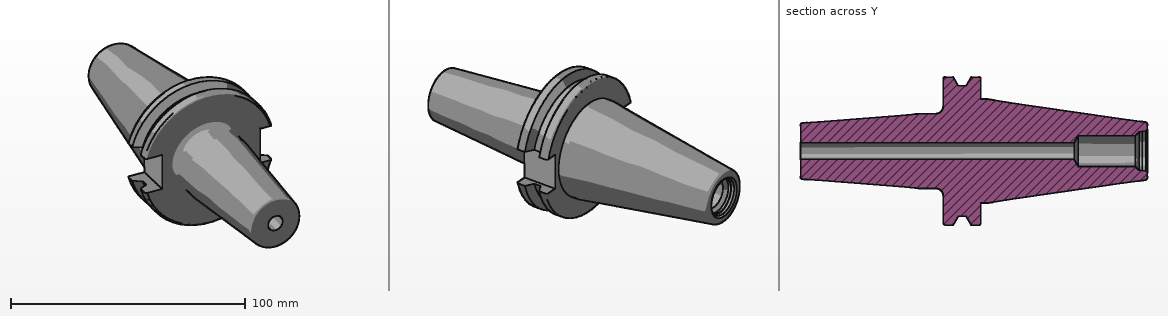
import cadquery as cq
import math

LENGTH = 148.2

GAUGE_RADIUS = 22.2
GAUGE_X = 68.2
TAPER_RATIO = 7 / 24
SHANK_END_RADIUS = GAUGE_RADIUS - GAUGE_X * TAPER_RATIO / 2
SHANK_END_FILLET = 1.5

FLANGE_START = 71.2
FLANGE_END = 87.3
FLANGE_RADIUS = 31.7
FLANGE_FILLET = 0.9
GROOVE_RADIUS = 28.0
GROOVE_CENTRE = 79.2
GROOVE_FLOOR_WIDTH = 3.3
GROOVE_FLANK_ANGLE = 30.0

NECK_RADIUS = 16.0
NECK_END = 97.4
NECK_FILLET = 3.1
NOSE_END_RADIUS = 12.0
NOSE_END_FILLET = 1.2

SLOT_WIDTH = 16.8
SLOT_FLOOR_FRONT = 22.5
SLOT_FLOOR_BACK = 24.9

MOUTH_RADIUS = 9.2
PILOT_RADIUS = 16.8 / 2
PILOT_DEPTH = 2.4
RELIEF_RADIUS = 8.2
RELIEF_DEPTH = 3.7
THREAD_RADIUS = 6.5
THREAD_DEPTH = 29.6
COOLANT_RADIUS = 7.0 / 2
BORE_END_HALF_ANGLE = 60.0


def turned(points):
    """Revolve a closed (x, radius) outline about the X axis."""
    return cq.Workplane("XY").polyline(points).close().revolve(360, (0, 0, 0), (1, 0, 0))


def make_shank():
    shank = turned([
        (0, 0),
        (0, SHANK_END_RADIUS),
        (GAUGE_X, GAUGE_RADIUS),
        (FLANGE_START, GAUGE_RADIUS),
        (FLANGE_START, 0),
    ])
    return shank.faces("<X").edges().fillet(SHANK_END_FILLET)


def make_flange():
    flange = turned([
        (FLANGE_START, 0),
        (FLANGE_START, FLANGE_RADIUS),
        (FLANGE_END, FLANGE_RADIUS),
        (FLANGE_END, 0),
    ])
    flange = flange.faces("<X or >X").edges().fillet(FLANGE_FILLET)
    floor_half = GROOVE_FLOOR_WIDTH / 2
    flank_run = (FLANGE_RADIUS - GROOVE_RADIUS) * math.tan(math.radians(GROOVE_FLANK_ANGLE))
    mouth_half = floor_half + flank_run
    groove = turned([
        (GROOVE_CENTRE - floor_half, GROOVE_RADIUS),
        (GROOVE_CENTRE - mouth_half, FLANGE_RADIUS),
        (GROOVE_CENTRE + mouth_half, FLANGE_RADIUS),
        (GROOVE_CENTRE + floor_half, GROOVE_RADIUS),
    ])
    return flange.cut(groove)


def make_slot(floor, side):
    depth = FLANGE_RADIUS - floor
    middle_x = (FLANGE_START + FLANGE_END) / 2
    middle_y = side * (floor + FLANGE_RADIUS) / 2
    slot = cq.Workplane("XY").box(FLANGE_END - FLANGE_START, depth, SLOT_WIDTH)
    return slot.translate((middle_x, middle_y, 0))


def make_nose():
    """Neck with a concave fillet into the flange, then a tapered nose."""
    corner_x = FLANGE_END + NECK_FILLET * (1 - math.sqrt(0.5))
    corner_radius = NECK_RADIUS + NECK_FILLET * (1 - math.sqrt(0.5))
    nose = (
        cq.Workplane("XY")
        .moveTo(FLANGE_END, 0)
        .lineTo(FLANGE_END, NECK_RADIUS + NECK_FILLET)
        .threePointArc((corner_x, corner_radius), (FLANGE_END + NECK_FILLET, NECK_RADIUS))
        .lineTo(NECK_END, NECK_RADIUS)
        .lineTo(LENGTH, NOSE_END_RADIUS)
        .lineTo(LENGTH, 0)
        .close()
        .revolve(360, (0, 0, 0), (1, 0, 0))
    )
    return nose.faces(">X").edges().fillet(NOSE_END_FILLET)


def make_bore():
    """Chamfered pilot, relief, countersunk thread bore with a conical bottom, and coolant hole."""
    cone_length = (THREAD_RADIUS - COOLANT_RADIUS) / math.tan(math.radians(BORE_END_HALF_ANGLE))
    countersink_length = RELIEF_RADIUS - THREAD_RADIUS
    return turned([
        (0, 0),
        (0, MOUTH_RADIUS),
        (MOUTH_RADIUS - PILOT_RADIUS, PILOT_RADIUS),
        (PILOT_DEPTH, PILOT_RADIUS),
        (PILOT_DEPTH, RELIEF_RADIUS),
        (RELIEF_DEPTH, RELIEF_RADIUS),
        (RELIEF_DEPTH + countersink_length, THREAD_RADIUS),
        (THREAD_DEPTH, THREAD_RADIUS),
        (THREAD_DEPTH + cone_length, COOLANT_RADIUS),
        (LENGTH, COOLANT_RADIUS),
        (LENGTH, 0),
    ])


result = make_shank().union(make_flange()).union(make_nose())
result = result.cut(make_slot(SLOT_FLOOR_FRONT, -1)).cut(make_slot(SLOT_FLOOR_BACK, 1))
result = result.cut(make_bore())